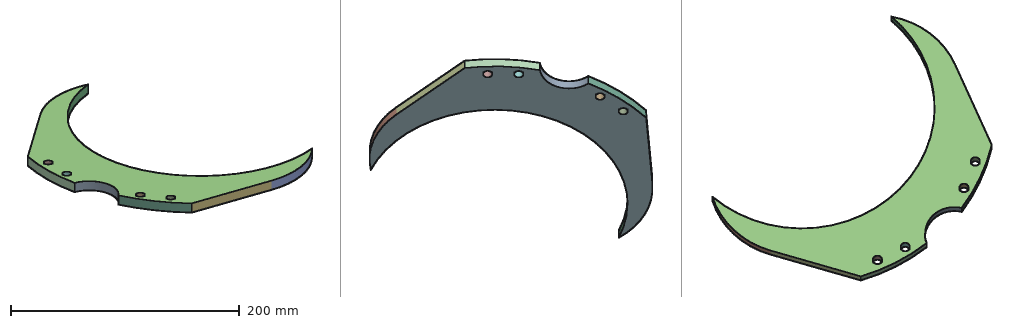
import cadquery as cq
import math

overall_width = 254.21
overall_length = 168.38
thickness = 9.14

inner_radius = 116.1
rim_radius = 169.9
horn_radius = 76.8
rim_end_angle = math.radians(60)

notch_radius = 25.6

hole_diameter = 8.0
hole_places = [(63.5, -147.3), (38.1, -157.0)]


def mirrored(point):
    """Return the point reflected across the YZ plane."""
    return (-point[0], point[1])


def tangent_point(center, radius, point):
    """Return where the line from point touches the circle, on its outer (+X) side."""
    dx = point[0] - center[0]
    dy = point[1] - center[1]
    angle = math.atan2(dy, dx) + math.acos(radius / math.hypot(dx, dy))
    return (center[0] + radius * math.cos(angle), center[1] + radius * math.sin(angle))


tip = (inner_radius, 0)
horn_center_x = overall_width / 2 - horn_radius
horn_center_y = -math.sqrt(horn_radius**2 - (tip[0] - horn_center_x) ** 2)
horn_center = (horn_center_x, horn_center_y)
horn_side = (overall_width / 2, horn_center_y)

rim_corner = (rim_radius * math.cos(rim_end_angle), -rim_radius * math.sin(rim_end_angle))
flank_top = tangent_point(horn_center, horn_radius, rim_corner)

notch_edge = (math.sqrt(rim_radius**2 - overall_length**2), -overall_length)
notch_edge_angle = math.acos(notch_edge[0] / rim_radius)
rim_middle_angle = (rim_end_angle + notch_edge_angle) / 2
rim_middle = (rim_radius * math.cos(rim_middle_angle), -rim_radius * math.sin(rim_middle_angle))

notch_center_y = -overall_length - math.sqrt(notch_radius**2 - notch_edge[0] ** 2)
notch_top = (0, notch_center_y + notch_radius)


def make_plate():
    """Extrude the crescent outline, drawn clockwise from the right-hand tip."""
    return (
        cq.Workplane("XY")
        .moveTo(*tip)
        .threePointArc(horn_side, flank_top)
        .lineTo(*rim_corner)
        .threePointArc(rim_middle, notch_edge)
        .threePointArc(notch_top, mirrored(notch_edge))
        .threePointArc(mirrored(rim_middle), mirrored(rim_corner))
        .lineTo(*mirrored(flank_top))
        .threePointArc(mirrored(horn_side), mirrored(tip))
        .threePointArc((0, -inner_radius), tip)
        .close()
        .extrude(thickness)
    )


def make_holes():
    """Return the cylinders of the through holes on both sides."""
    centers = hole_places + [mirrored(place) for place in hole_places]
    return cq.Workplane("XY").pushPoints(centers).circle(hole_diameter / 2).extrude(thickness)


result = make_plate().cut(make_holes())